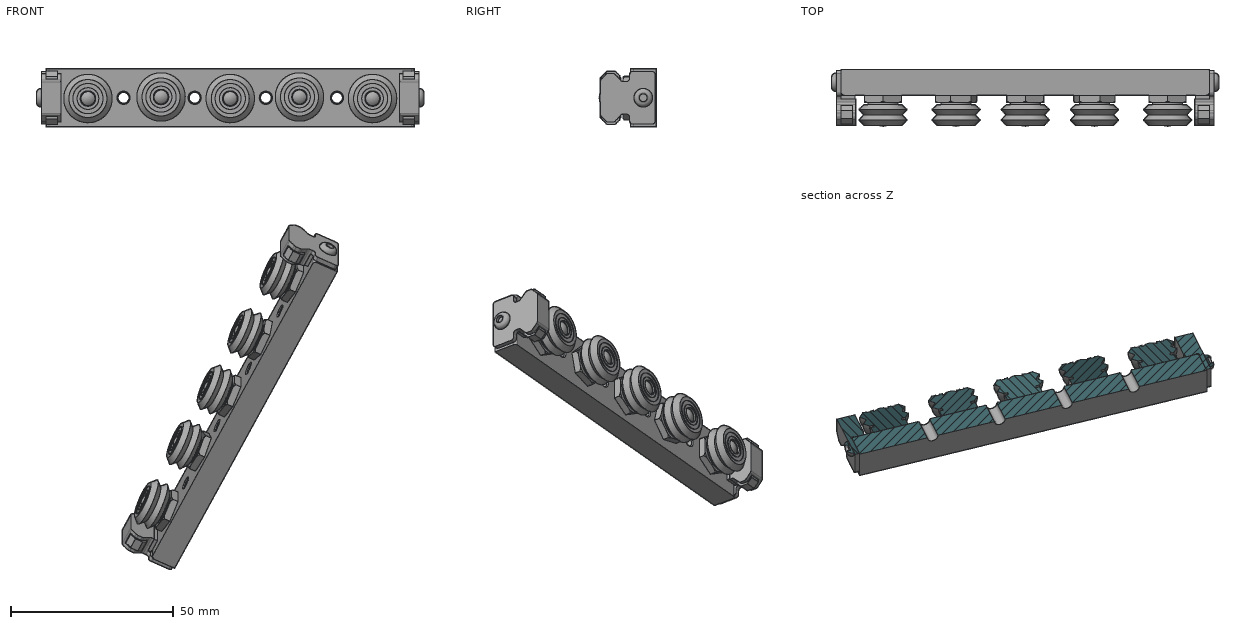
import cadquery as cq
import math


BAR_LENGTH = 113.8
BAR_DEPTH = 8.0
BAR_HEIGHT = 18.0
BAR_CORNER_RADIUS = 1.0
HOLE_RADIUS = 1.7
HOLE_CHAMFER = 0.4
OUTER_ROLLER_X = 44.0
HOLE_PITCH = OUTER_ROLLER_X / 2
HOLE_COUNT = 4

FRONT_DEPTH = 9.3
HEX_ACROSS_FLATS = 11.5
HEX_SIDES = 6
HEX_CORNER_CHAMFER = 0.5
HEX_THICKNESS = 2.3
COLLAR_RADIUS = 4.7
WHEEL_BACK_DEPTH = 2.9
RIDGE_DIAMETER = 15.0
RIDGE_RADIUS = RIDGE_DIAMETER / 2
FACE_RADIUS = 5.9
VALLEY_RADIUS = 6.0
RIDGE_DEPTHS = (4.4, 7.7)
RING_OUTER_RADIUS = 4.7
RING_INNER_RADIUS = 3.4
RING_RECESS = 0.2
POCKET_RADIUS = 2.4
POCKET_RECESS = 0.6
DOME_RADIUS = 2.2
DOME_TIP_DEPTH = 9.6

FIXED_ROLLER_Z = -0.2
ECCENTRIC_SHIFT_X = 0.6
ECCENTRIC_ROLLER_X = HOLE_PITCH - ECCENTRIC_SHIFT_X
ECCENTRIC_ROLLER_Z = 0.2
ECCENTRIC_TURN = 15.0
ROLLER_PLACES = [
    (-OUTER_ROLLER_X, FIXED_ROLLER_Z, 0),
    (-ECCENTRIC_ROLLER_X, ECCENTRIC_ROLLER_Z, ECCENTRIC_TURN),
    (0, FIXED_ROLLER_Z, 0),
    (ECCENTRIC_ROLLER_X, ECCENTRIC_ROLLER_Z, -ECCENTRIC_TURN),
    (OUTER_ROLLER_X, FIXED_ROLLER_Z, 0),
]

PLATE_THICKNESS = 1.4
PLATE_BACK_Y = 7.7
PLATE_FRONT_Y = -0.2
PLATE_HALF_HEIGHT = 8.1
NECK_HALF_HEIGHT = 5.0
NECK_BLOCK_HALF_HEIGHT = 4.7
NECK_LENGTH = 4.3
LOBE_LENGTH = 6.0
LOBE_START_Y = -1.2
LOBE_HALF_HEIGHT = 7.5
LOBE_CREST_BACK_Y = -5.0
LOBE_CREST_FRONT_Y = -7.2
LOBE_FRONT_HALF_HEIGHT = 5.3
WIPER_ROUNDING = 1.0
PAD_LENGTH = 3.5
PAD_HALF_HEIGHT = 8.3
PAD_BACK_Y = -3.2
PAD_CREST_BACK_Y = -4.7
PAD_CREST_FRONT_Y = -7.2
PAD_FRONT_Y = -8.9

SCREW_HEAD_RADIUS = 2.9
SCREW_HEAD_HEIGHT = 1.5
SCREW_CROWN_RADIUS = 1.4
SCREW_SOCKET_RADIUS = 1.2
SCREW_SOCKET_DEPTH = 1.0

BAR_END_X = BAR_LENGTH / 2
PLATE_OUTER_X = BAR_END_X + PLATE_THICKNESS


def make_bar():
    bar = (
        cq.Workplane("XY")
        .box(BAR_LENGTH, BAR_DEPTH, BAR_HEIGHT)
        .translate((0, BAR_DEPTH / 2, 0))
        .edges("|Z and <Y")
        .fillet(BAR_CORNER_RADIUS)
    )
    for index in range(HOLE_COUNT):
        x = (index - (HOLE_COUNT - 1) / 2) * HOLE_PITCH
        bore = cq.Workplane("XZ", origin=(x, 0, 0)).circle(HOLE_RADIUS).extrude(-BAR_DEPTH)
        countersink = cq.Solid.makeCone(
            HOLE_RADIUS + HOLE_CHAMFER,
            HOLE_RADIUS,
            HOLE_CHAMFER,
            cq.Vector(x, 0, 0),
            cq.Vector(0, 1, 0),
        )
        bar = bar.cut(bore).cut(cq.Workplane("XY").add(countersink))
    return bar


def make_wheel():
    """Collar and wheel turned about the Y axis, with two ridges and a stepped front face."""
    back_ridge, front_ridge = RIDGE_DEPTHS
    valley_depth = (back_ridge + front_ridge) / 2
    pocket_depth = FRONT_DEPTH - POCKET_RECESS
    ring_depth = FRONT_DEPTH - RING_RECESS
    dome_height = DOME_TIP_DEPTH - pocket_depth
    sphere_radius = (DOME_RADIUS**2 + dome_height**2) / (2 * dome_height)
    half_angle = math.asin(DOME_RADIUS / sphere_radius) / 2
    dome_middle = (
        sphere_radius * math.sin(half_angle),
        sphere_radius * (1 - math.cos(half_angle)) - DOME_TIP_DEPTH,
    )
    profile = (
        cq.Workplane("XY")
        .moveTo(0, -HEX_THICKNESS)
        .lineTo(COLLAR_RADIUS, -HEX_THICKNESS)
        .lineTo(COLLAR_RADIUS, -WHEEL_BACK_DEPTH)
        .lineTo(FACE_RADIUS, -WHEEL_BACK_DEPTH)
        .lineTo(RIDGE_RADIUS, -back_ridge)
        .lineTo(VALLEY_RADIUS, -valley_depth)
        .lineTo(RIDGE_RADIUS, -front_ridge)
        .lineTo(FACE_RADIUS, -FRONT_DEPTH)
        .lineTo(RING_OUTER_RADIUS, -FRONT_DEPTH)
        .lineTo(RING_OUTER_RADIUS, -ring_depth)
        .lineTo(RING_INNER_RADIUS, -ring_depth)
        .lineTo(RING_INNER_RADIUS, -FRONT_DEPTH)
        .lineTo(POCKET_RADIUS, -FRONT_DEPTH)
        .lineTo(POCKET_RADIUS, -pocket_depth)
        .lineTo(DOME_RADIUS, -pocket_depth)
        .threePointArc(dome_middle, (0, -DOME_TIP_DEPTH))
    )
    return profile.close().revolve(360, (0, 0, 0), (0, 1, 0))


def make_hexagon():
    """Hexagonal seat with flats facing +X and -X and its front corners turned off."""
    corner_radius = HEX_ACROSS_FLATS / 2 / math.cos(math.pi / HEX_SIDES)
    half_side_angle = 180 / HEX_SIDES
    hexagon = (
        cq.Workplane("XZ")
        .polygon(HEX_SIDES, 2 * corner_radius)
        .extrude(HEX_THICKNESS)
        .rotate((0, 0, 0), (0, 1, 0), half_side_angle)
    )
    turned_blank = (
        cq.Workplane("XZ")
        .circle(corner_radius)
        .extrude(HEX_THICKNESS)
        .faces("<Y")
        .chamfer(HEX_CORNER_CHAMFER)
    )
    return hexagon.intersect(turned_blank)


def make_roller(x, z, turn):
    roller = make_hexagon().union(make_wheel())
    return roller.rotate((0, 0, 0), (0, 1, 0), -turn).translate((x, 0, z))


def mirrored_outline(upper_points):
    """Closed YZ outline from its upper half, repeated below Z = 0."""
    lower_points = [(y, -z) for y, z in reversed(upper_points)]
    return cq.Workplane("YZ").polyline(upper_points + lower_points).close()


def make_left_wiper():
    """Plate on the bar end, with a neck and a wider lobe in front of the bar."""
    slope_drop = LOBE_HALF_HEIGHT - NECK_HALF_HEIGHT
    outline = [
        (PLATE_BACK_Y, PLATE_HALF_HEIGHT),
        (PLATE_FRONT_Y, PLATE_HALF_HEIGHT),
        (PLATE_FRONT_Y, NECK_HALF_HEIGHT),
        (LOBE_CREST_BACK_Y + slope_drop, NECK_HALF_HEIGHT),
        (LOBE_CREST_BACK_Y, LOBE_HALF_HEIGHT),
        (LOBE_CREST_FRONT_Y, LOBE_HALF_HEIGHT),
        (-FRONT_DEPTH, LOBE_FRONT_HALF_HEIGHT),
    ]
    body = mirrored_outline(outline).extrude(LOBE_LENGTH).edges("|X").fillet(WIPER_ROUNDING)

    clearance = cq.Workplane("XY").box(
        LOBE_LENGTH - PLATE_THICKNESS,
        PLATE_BACK_Y - LOBE_START_Y,
        2 * PLATE_HALF_HEIGHT,
        centered=(False, False, True),
    )
    body = body.cut(clearance.translate((PLATE_THICKNESS, LOBE_START_Y, 0)))

    neck = cq.Workplane("XY").box(
        NECK_LENGTH, -LOBE_START_Y, 2 * NECK_BLOCK_HALF_HEIGHT, centered=(False, False, True)
    )
    body = body.union(neck.translate((PLATE_THICKNESS, LOBE_START_Y, 0)))

    pad_outline = [
        (PAD_BACK_Y, PAD_HALF_HEIGHT - (PAD_BACK_Y - PAD_CREST_BACK_Y)),
        (PAD_CREST_BACK_Y, PAD_HALF_HEIGHT),
        (PAD_CREST_FRONT_Y, PAD_HALF_HEIGHT),
        (PAD_FRONT_Y, PAD_HALF_HEIGHT - (PAD_CREST_FRONT_Y - PAD_FRONT_Y)),
    ]
    pads = mirrored_outline(pad_outline).extrude(PAD_LENGTH)
    body = body.union(pads.translate((PLATE_THICKNESS, 0, 0)))
    return body.translate((-PLATE_OUTER_X, 0, 0))


def make_left_screw():
    """Round screw head against the plate, with a cylindrical socket."""
    axis_y = BAR_DEPTH / 2
    head = (
        cq.Workplane("YZ", origin=(-PLATE_OUTER_X, axis_y, 0))
        .circle(SCREW_HEAD_RADIUS)
        .extrude(-SCREW_HEAD_HEIGHT)
    )
    head = head.faces("<X").edges().fillet(SCREW_CROWN_RADIUS)
    return head.faces("<X").workplane().hole(2 * SCREW_SOCKET_RADIUS, SCREW_SOCKET_DEPTH)


bar = make_bar()
rollers = [make_roller(x, z, turn) for x, z, turn in ROLLER_PLACES]
left_wiper = make_left_wiper()
wipers = [left_wiper, left_wiper.mirror("YZ")]
left_screw = make_left_screw()
screws = [left_screw, left_screw.mirror("YZ")]

result = cq.Compound.makeCompound([body.val() for body in [bar, *rollers, *wipers, *screws]])